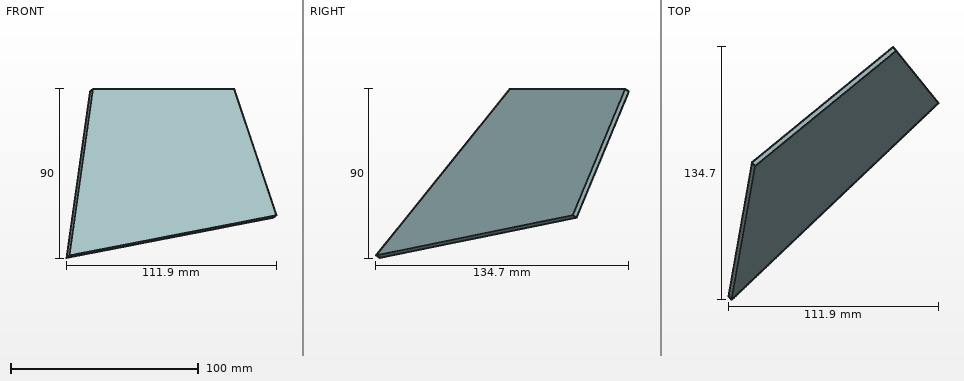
import cadquery as cq

thickness = 3.0

top_z = 45.0
top_left = cq.Vector(-41.7, 3.9, top_z)
top_right = cq.Vector(33.4, 65.3, top_z)
bottom_left = cq.Vector(-54.3, -67.3, -43.6)
bottom_right_x = 55.9
bottom_right_z = -22.2

top_edge = top_right - top_left
left_edge = bottom_left - top_left
inward = top_edge.cross(left_edge).normalized()

offset_x = bottom_right_x - top_left.x
offset_z = bottom_right_z - top_left.z
bottom_right_y = top_left.y - (inward.x * offset_x + inward.z * offset_z) / inward.y
bottom_right = cq.Vector(bottom_right_x, bottom_right_y, bottom_right_z)

face_plane = cq.Plane(origin=top_left, xDir=top_edge, normal=inward)
corners = [top_left, top_right, bottom_right, bottom_left]
outline = [face_plane.toLocalCoords(corner).toTuple()[:2] for corner in corners]
result = cq.Workplane(face_plane).polyline(outline).close().extrude(thickness)